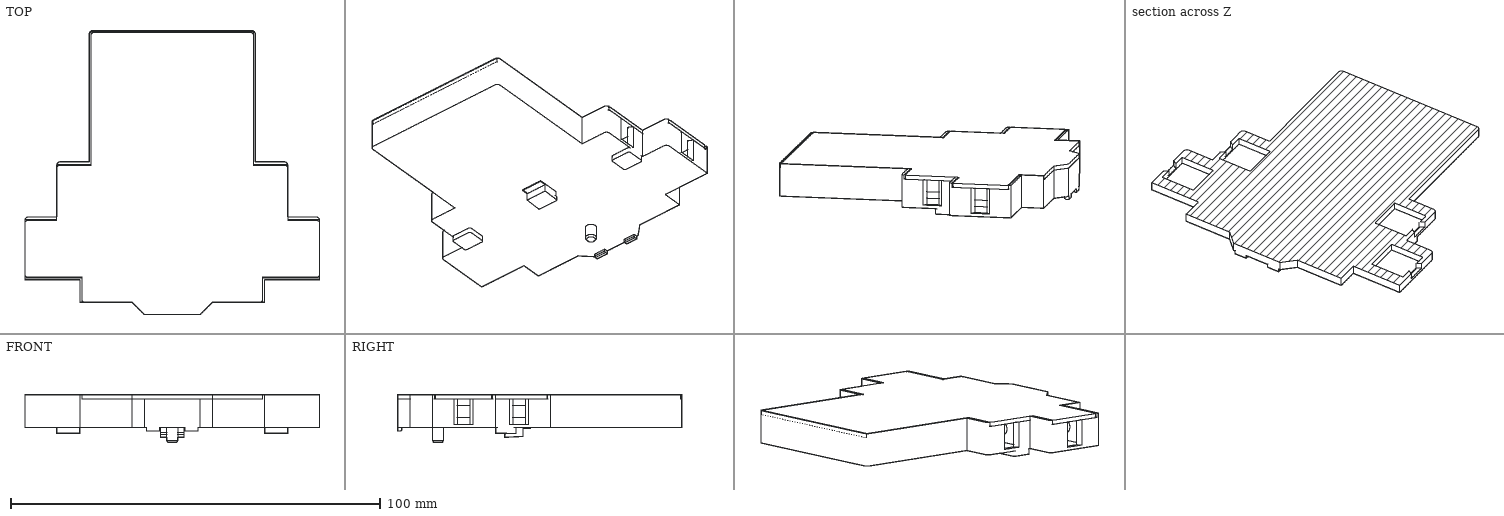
import cadquery as cq

LOW_HALF = 39.9
MID_HALF = 31.3
UPPER_HALF = 22.5
FRONT_HALF = 25.0
NOSE_HALF = 7.5
NOSE_ROOT_HALF = 10.9
NOSE_ROOT_Y = 3.35
LOW_FRONT_Y = 9.4
LOW_BACK_Y = 26.5
MID_BACK_Y = 41.45
BACK_Y = 77.0
HOUSING_HEIGHT = 8.95
HOUSING_CORNER_RADIUS = 1.0

COVER_THICKNESS = 1.1
SIDE_RIM = 0.55
LOW_FRONT_RIM = 0.55
BACK_RIM = 0.3
STEP_RIM = 0.8
COVER_GAP = 0.2
COVER_CORNER_RADIUS = 0.6
COVER_BOTTOM = HOUSING_HEIGHT - COVER_THICKNESS

CHAMBER_FLOOR = 0.55
WINDOW_SILL = 0.9
CHAMBER_DEPTH = 11.2
CHAMBER_LENGTH = 9.75
WINDOW_OUTER_LENGTH = 5.1
WINDOW_INNER_LENGTH = 3.35
WINDOW_DEPTH = 1.3
LOW_TERMINAL_Y = 17.9
MID_TERMINAL_Y = 32.9
TERMINAL_SITES = [(LOW_HALF, LOW_TERMINAL_Y), (MID_HALF, MID_TERMINAL_Y)]
SIDES = (-1, 1)

SAME_PLACE = 0.01

ROD_RADIUS = 1.7
ROD_Z = 4.4

FOOT_WIDTH = 6.3
FOOT_LENGTH = 5.6
FOOT_HEIGHT = 1.5
FOOT_CORNER_RADIUS = 0.55
NOSE_FOOT_INNER = 3.4
NOSE_FOOT_OUTER = 7.0
NOSE_FOOT_LENGTH = 1.1
NOSE_FOOT_HEIGHT = 0.95
NOSE_FOOT_CHAMFER = 0.3

PIN_RADIUS = 1.5
PIN_LENGTH = 4.0
PIN_CHAMFER_HEIGHT = 0.55
PIN_CHAMFER_WIDTH = 0.3
PIN_Y = 10.9

HOOK_HALF_WIDTH = 3.2
HOOK_PLATE_BACK_Y = 35.9
HOOK_PLATE_THICKNESS = 0.2
HOOK_BACK_Y = 34.0
HOOK_TIP_Y = 29.0
HOOK_BACK_HEIGHT = 2.4
HOOK_TIP_HEIGHT = 2.6
HOOK_LIP_HEIGHT = 0.8
HOOK_BEVEL = 0.55


def mirrored_prism(right_half, bottom, height):
    """Extrude an outline symmetric about X = 0, given by its points on the +X side."""
    left_half = [(-x, y) for x, y in reversed(right_half)]
    outline = cq.Workplane("XY").workplane(offset=bottom).polyline(right_half + left_half).close()
    return outline.extrude(height)


def box_between(x_range, y_range, z_range):
    """Box between two limits along each axis; the limits come in any order."""
    spans = [sorted(limits) for limits in (x_range, y_range, z_range)]
    sizes = [high - low for low, high in spans]
    corner = cq.Vector(*[low for low, high in spans])
    return cq.Workplane(cq.Solid.makeBox(*sizes, pnt=corner))


def corner_edges(body, points):
    """Upright edges of a body that stand at the given points and at their mirror images."""
    places = [(side * x, y) for x, y in points for side in SIDES]

    def at_corner(edge):
        center = edge.Center()
        return any(abs(center.x - x) + abs(center.y - y) < SAME_PLACE for x, y in places)

    upright = body.edges("|Z").vals()
    return body.newObject([edge for edge in upright if at_corner(edge)])


def make_cover_plate(gap):
    """Sharp-cornered plate between the rims, standing off by a gap from the rims that run along X."""
    upper_half = UPPER_HALF - SIDE_RIM
    front_half = FRONT_HALF - SIDE_RIM
    low_front_y = LOW_FRONT_Y + LOW_FRONT_RIM + gap
    low_back_y = LOW_BACK_Y - STEP_RIM - gap
    mid_back_y = MID_BACK_Y - STEP_RIM - gap
    right_half = [
        (NOSE_HALF, 0),
        (NOSE_ROOT_HALF, NOSE_ROOT_Y),
        (front_half, NOSE_ROOT_Y),
        (front_half, low_front_y),
        (LOW_HALF, low_front_y),
        (LOW_HALF, low_back_y),
        (MID_HALF, low_back_y),
        (MID_HALF, mid_back_y),
        (upper_half, mid_back_y),
        (upper_half, BACK_Y - BACK_RIM - gap),
    ]
    return mirrored_prism(right_half, COVER_BOTTOM, COVER_THICKNESS)


def make_cover():
    outer_corners = [
        (NOSE_HALF, 0),
        (FRONT_HALF - SIDE_RIM, NOSE_ROOT_Y),
        (LOW_HALF, LOW_FRONT_Y + LOW_FRONT_RIM + COVER_GAP),
        (LOW_HALF, LOW_BACK_Y - STEP_RIM - COVER_GAP),
        (MID_HALF, MID_BACK_Y - STEP_RIM - COVER_GAP),
        (UPPER_HALF - SIDE_RIM, BACK_Y - BACK_RIM - COVER_GAP),
    ]
    return corner_edges(make_cover_plate(COVER_GAP), outer_corners).fillet(COVER_CORNER_RADIUS)


def make_housing_block():
    right_half = [
        (NOSE_HALF, 0),
        (NOSE_ROOT_HALF, NOSE_ROOT_Y),
        (FRONT_HALF, NOSE_ROOT_Y),
        (FRONT_HALF, LOW_FRONT_Y),
        (LOW_HALF, LOW_FRONT_Y),
        (LOW_HALF, LOW_BACK_Y),
        (MID_HALF, LOW_BACK_Y),
        (MID_HALF, MID_BACK_Y),
        (UPPER_HALF, MID_BACK_Y),
        (UPPER_HALF, BACK_Y),
    ]
    rounded_corners = [(LOW_HALF, LOW_BACK_Y), (MID_HALF, MID_BACK_Y), (UPPER_HALF, BACK_Y)]
    block = mirrored_prism(right_half, 0, HOUSING_HEIGHT)
    return corner_edges(block, rounded_corners).fillet(HOUSING_CORNER_RADIUS)


def make_chamber(side, wall_x, center_y):
    """Hollow behind a side wall, with the window that flares outward through the wall."""
    inner_x = wall_x - WINDOW_DEPTH
    y_range = (center_y - CHAMBER_LENGTH / 2, center_y + CHAMBER_LENGTH / 2)
    x_range = (side * inner_x, side * (wall_x - CHAMBER_DEPTH))
    hollow = box_between(x_range, y_range, (CHAMBER_FLOOR, COVER_BOTTOM))
    window = (
        cq.Workplane("XY")
        .workplane(offset=WINDOW_SILL)
        .polyline([
            (side * wall_x, center_y - WINDOW_OUTER_LENGTH / 2),
            (side * wall_x, center_y + WINDOW_OUTER_LENGTH / 2),
            (side * inner_x, center_y + WINDOW_INNER_LENGTH / 2),
            (side * inner_x, center_y - WINDOW_INNER_LENGTH / 2),
        ])
        .close()
        .extrude(COVER_BOTTOM - WINDOW_SILL)
    )
    return hollow.union(window)


def make_side_foot(side):
    x_range = (side * MID_HALF, side * (MID_HALF - FOOT_WIDTH))
    foot = box_between(x_range, (LOW_BACK_Y, LOW_BACK_Y + FOOT_LENGTH), (-FOOT_HEIGHT, 0))
    return foot.edges("|Z").fillet(FOOT_CORNER_RADIUS)


def make_nose_foot(side):
    x_range = (side * NOSE_FOOT_INNER, side * NOSE_FOOT_OUTER)
    foot = box_between(x_range, (0, NOSE_FOOT_LENGTH), (-NOSE_FOOT_HEIGHT, 0))
    return foot.edges("<Z and >Y").chamfer(NOSE_FOOT_CHAMFER)


def make_housing():
    housing = make_housing_block().cut(make_cover_plate(0))
    for side in SIDES:
        housing = housing.union(make_side_foot(side)).union(make_nose_foot(side))
        for wall_x, center_y in TERMINAL_SITES:
            housing = housing.cut(make_chamber(side, wall_x, center_y))
    return housing


def make_terminal(side, wall_x, center_y):
    """Round rod lying along Y against the back of a chamber."""
    axis_x = side * (wall_x - CHAMBER_DEPTH + ROD_RADIUS)
    start = cq.Vector(axis_x, center_y - CHAMBER_LENGTH / 2, ROD_Z)
    return cq.Solid.makeCylinder(ROD_RADIUS, CHAMBER_LENGTH, start, cq.Vector(0, 1, 0))


def make_pin():
    pin = cq.Workplane("XY").center(0, PIN_Y).circle(PIN_RADIUS).extrude(-PIN_LENGTH)
    return pin.faces("<Z").chamfer(PIN_CHAMFER_HEIGHT, PIN_CHAMFER_WIDTH)


def make_hook():
    """Catch under the housing: a thin plate, a neck and a lip with a bevelled upper edge."""
    neck_y = HOOK_TIP_Y + HOOK_BEVEL
    lip_top = HOOK_LIP_HEIGHT - HOOK_TIP_HEIGHT
    profile = [
        (HOOK_PLATE_BACK_Y, 0),
        (HOOK_PLATE_BACK_Y, -HOOK_PLATE_THICKNESS),
        (HOOK_BACK_Y, -HOOK_PLATE_THICKNESS),
        (HOOK_BACK_Y, -HOOK_BACK_HEIGHT),
        (HOOK_TIP_Y, -HOOK_TIP_HEIGHT),
        (HOOK_TIP_Y, lip_top),
        (neck_y, lip_top + HOOK_BEVEL),
        (neck_y, 0),
    ]
    return cq.Workplane("YZ").polyline(profile).close().extrude(HOOK_HALF_WIDTH, both=True)


housing = make_housing()
cover = make_cover()
terminals = [make_terminal(side, *site) for side in SIDES for site in TERMINAL_SITES]
pin = make_pin()
hook = make_hook()

result = cq.Compound.makeCompound([housing.val(), cover.val(), *terminals, pin.val(), hook.val()])